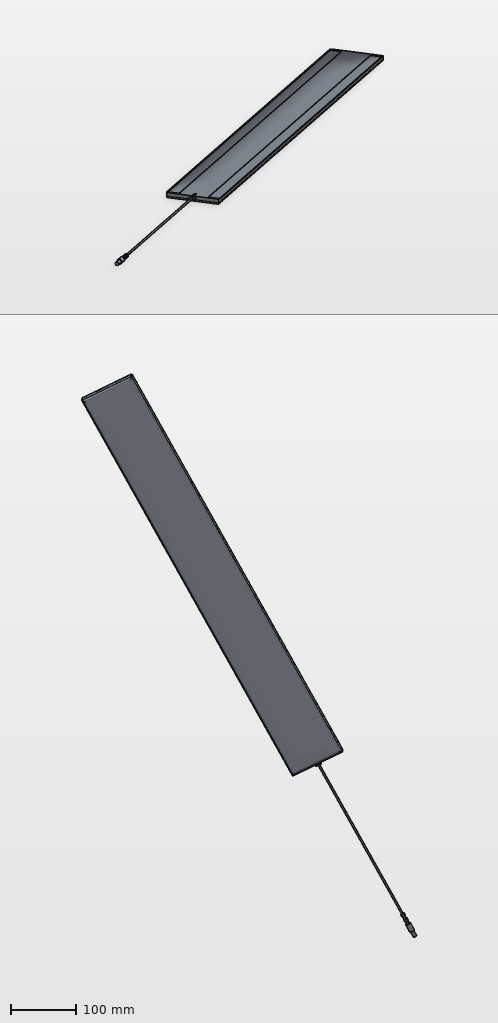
import cadquery as cq

overall_length = 1021.09
overall_height = 11.34

panel_width = 88.0
panel_length = 700.0
panel_height = 10.0
corner_radius = 3.0
bottom_edge_radius = 6.0

wall = 1.7
floor_height = 4.0
cover_width = panel_width - 2 * wall
cover_length = panel_length - 2 * wall

strip_inner_x = 24.0
strip_outer_x = cover_width / 2
strip_width = strip_outer_x - strip_inner_x
strip_end_margin = 5.5
strip_length = panel_length - 2 * strip_end_margin
strip_thickness = 1.0

cable_radius = 1.6
cable_z = 7.2
cable_inset = 13.0
panel_end_y = -panel_length / 2
cable_start_y = panel_end_y + cable_inset

grommet_width = 10.0
grommet_height = 4.6
grommet_projection = 2.5

plug_length = 41.6
plug_end_y = panel_length / 2 - overall_length
plug_start_y = plug_end_y + plug_length
plug_cable_depth = 20.0
rib_radius = 3.2
rib_thickness = 4.0
rib_pitch = 9.2
rib_count = 2
neck_radius = 2.4
grip_radius = overall_height - cable_z
tip_length = 10.0
tip_radius = 3.0
grip_start_y = plug_start_y - rib_count * rib_pitch
tip_start_y = plug_end_y + tip_length
cable_end_y = plug_start_y - plug_cable_depth


def round_bottom_bar(plane, width, length):
    """Bar running square to the given plane, with its two lower long edges rounded."""
    bar = (
        cq.Workplane(plane)
        .center(0, panel_height / 2)
        .rect(width, panel_height)
        .extrude(length / 2, both=True)
    )
    long_edges = "|Y" if plane == "XZ" else "|X"
    return bar.edges(long_edges).edges("<Z").fillet(bottom_edge_radius)


def rod(radius, start_y, end_y):
    """Round rod on the cable axis running toward -Y."""
    return (
        cq.Workplane("XZ", origin=(0, start_y, cable_z))
        .circle(radius)
        .extrude(start_y - end_y)
    )


def cover_block():
    """Rectangular block that fills the tray from its floor to the top of the panel."""
    return (
        cq.Workplane("XY", origin=(0, 0, floor_height))
        .rect(cover_width, cover_length)
        .extrude(panel_height - floor_height)
    )


def make_grommet_block():
    """Rectangular grommet outline, through the wall and standing out beyond it."""
    depth = wall + grommet_projection
    return (
        cq.Workplane("XZ", origin=(0, panel_end_y + wall, cable_z))
        .rect(grommet_width, grommet_height)
        .extrude(depth)
    )


def make_tray():
    """Shallow tray with rounded corners and lower edges, open for the cover and the grommet."""
    tray = cq.Workplane("XY").rect(panel_width, panel_length).extrude(panel_height)
    tray = tray.edges("|Z").fillet(corner_radius)
    tray = tray.intersect(round_bottom_bar("XZ", panel_width, panel_length))
    tray = tray.intersect(round_bottom_bar("YZ", panel_length, panel_width))
    return tray.cut(cover_block()).cut(make_grommet_block())


def make_strip(side):
    """Thin strip flush with the cover on the given side (-1 for -X, 1 for +X)."""
    return (
        cq.Workplane("XY", origin=(side * (strip_inner_x + strip_width / 2), 0, panel_height))
        .rect(strip_width, strip_length)
        .extrude(-strip_thickness)
    )


def make_cover():
    """Plate filling the tray, with strip recesses and a groove open above the cable."""
    cover = cover_block()
    for strip in strips:
        cover = cover.cut(strip)
    groove = (
        cq.Workplane("XY", origin=(0, panel_end_y + cable_inset / 2, cable_z))
        .rect(2 * cable_radius, cable_inset)
        .extrude(panel_height - cable_z)
    )
    return cover.cut(groove).cut(cable)


def make_plug():
    """Ribbed neck, grip and tip, bored for the end of the cable."""
    plug = rod(neck_radius, plug_start_y, plug_end_y)
    for rib in range(rib_count):
        rib_y = plug_start_y - rib * rib_pitch
        plug = plug.union(rod(rib_radius, rib_y, rib_y - rib_thickness))
    plug = plug.union(rod(grip_radius, grip_start_y, tip_start_y))
    plug = plug.union(rod(tip_radius, tip_start_y, plug_end_y))
    return plug.cut(cable)


cable = rod(cable_radius, cable_start_y, cable_end_y)
strips = [make_strip(side) for side in (-1, 1)]
tray = make_tray()
cover = make_cover()
grommet = make_grommet_block().cut(cable)
plug = make_plug()

result = cq.Compound.makeCompound(
    [tray.val(), cover.val(), *[strip.val() for strip in strips], grommet.val(), cable.val(), plug.val()]
)